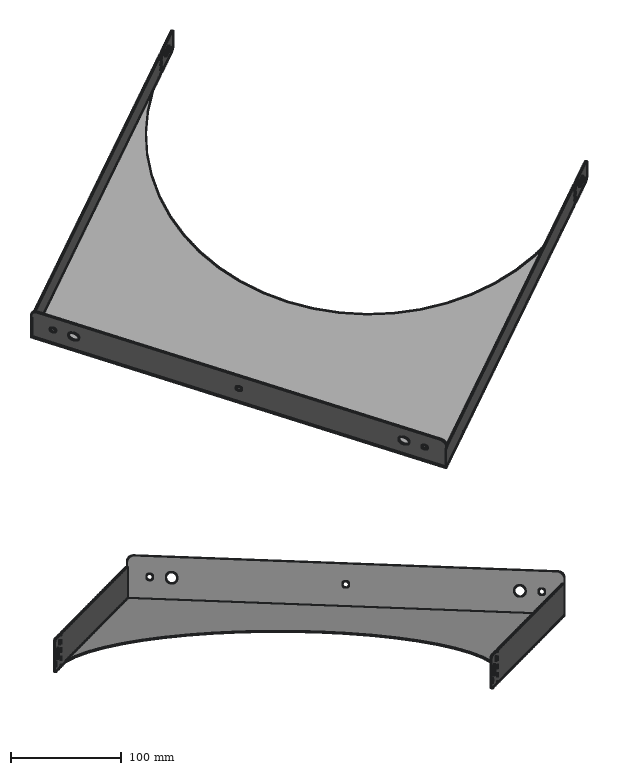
import cadquery as cq

width = 402.0
depth = 348.5
flange_height = 40.0
arm_height = 30.0
thickness = 1.0
flange_corner_radius = 6.5
arm_corner_radius = 5.0

cutout_radius = 201.5
arm_end_to_cutout = 26.0
cutout_center_y = depth - arm_end_to_cutout

flange_hole_z = 21.0
large_hole_diameter = 10.5
screw_hole_diameter = 6.0
large_hole_offset = 160.0
screw_hole_offset = 180.0

arm_end_to_hole = 15.0
arm_hole_y = depth - arm_end_to_hole
arm_hole_z = arm_height / 2
pin_hole_diameter = 4.5
pin_hole_offset = 8.5

perforation_diameter = 3.3
arm_end_to_perforation = 29.7
perforation_y = depth - arm_end_to_perforation
perforation_steps = 4
perforation_pitch = arm_height / perforation_steps


def make_floor():
    """Floor whose cut-out breaks through the inner faces of the arms without reaching the free ends."""
    plate = cq.Workplane("XY").box(width, cutout_center_y, thickness, centered=(True, False, False))
    cutout = cq.Workplane("XY").center(0, cutout_center_y).circle(cutout_radius).extrude(thickness)
    return plate.cut(cutout)


def make_flange():
    plate = cq.Workplane("XY").box(width, thickness, flange_height, centered=(True, False, False))
    return plate.edges("|Y and >Z").fillet(flange_corner_radius)


def make_arms():
    """Two side arms, rounded at the top front and at both free-end corners."""
    blank = cq.Workplane("XY").box(width, depth, arm_height, centered=(True, False, False))
    blank = blank.edges("|X and (>Y or >Z)").fillet(arm_corner_radius)
    inner_width = width - 2 * thickness
    gap = cq.Workplane("XY").box(inner_width, depth, arm_height, centered=(True, False, False))
    return blank.cut(gap)


def flange_drill(diameter, x_positions):
    points = [(x, flange_hole_z) for x in x_positions]
    return cq.Workplane("XZ").pushPoints(points).circle(diameter / 2).extrude(-thickness)


def arm_drill(diameter, points):
    """Cylinders through both arms at the given (y, z) points."""
    return cq.Workplane("YZ").pushPoints(points).circle(diameter / 2).extrude(width / 2, both=True)


result = make_floor().union(make_flange()).union(make_arms())

result = result.cut(flange_drill(large_hole_diameter, [-large_hole_offset, large_hole_offset]))
result = result.cut(flange_drill(screw_hole_diameter, [-screw_hole_offset, 0, screw_hole_offset]))

pin_points = [
    (arm_hole_y + side * pin_hole_offset, arm_hole_z - side * pin_hole_offset)
    for side in (-1, 1)
]
perforation_points = [(perforation_y, i * perforation_pitch) for i in range(perforation_steps + 1)]
result = result.cut(arm_drill(large_hole_diameter, [(arm_hole_y, arm_hole_z)]))
result = result.cut(arm_drill(pin_hole_diameter, pin_points))
result = result.cut(arm_drill(perforation_diameter, perforation_points))